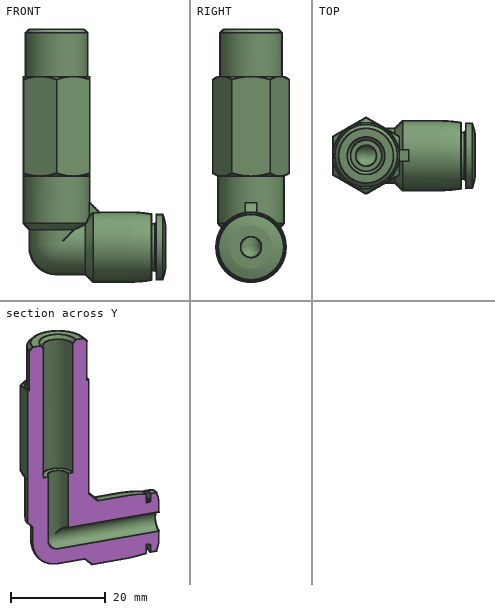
import cadquery as cq
import math


elbow_radius = 11.6 / 2
passage_radius = 4.4 / 2

stem_radius = 14.0 / 2
stem_bottom_z = 5.0
stem_chamfer_height = 1.3
hex_bottom_z = 15.0
hex_top_z = 36.0
hex_sides = 6
hex_across_flats = 14.0
hex_chamfer_angle = math.radians(30)
spigot_radius = 13.16 / 2
spigot_top_z = 46.0
spigot_chamfer = 0.8
stem_bore_radius = 6.58 / 2
stem_bore_mouth_radius = 7.94 / 2
stem_bore_mouth_depth = 0.8

body_radius = 14.8 / 2
body_cone_start_x = 6.1
body_cone_end_x = 7.7
body_curve_start_x = 15.75
body_curve_end_x = 18.8
body_curve_end_radius = 7.17
body_end_x = 20.1
body_end_radius = 7.0
body_end_chamfer = 0.12

neck_radius = 9.94 / 2
neck_flare_x = 20.75
neck_flare = 0.25
flange_radius = 13.8 / 2
flange_rim_end_x = 22.4
collar_end_x = 23.0
collar_face_radius = 4.5
collar_crown_mid_x = 22.75
collar_crown_mid_radius = 5.85

rib_width = 2.45
rib_top_z = 9.4


def cylinder_z(radius, bottom_z, top_z):
    return cq.Workplane("XY").workplane(offset=bottom_z).circle(radius).extrude(top_z - bottom_z)


def cylinder_x(radius, start_x, end_x):
    return cq.Workplane("YZ").workplane(offset=start_x).circle(radius).extrude(end_x - start_x)


def make_elbow(radius, top_z, end_x):
    """Ball at the origin with one equal round leg up Z and one along X."""
    ball = cq.Workplane("XY").sphere(radius)
    return ball.union(cylinder_z(radius, 0, top_z)).union(cylinder_x(radius, 0, end_x))


def make_stem():
    """Round stem below the hexagon and cylindrical spigot above it."""
    profile = (
        cq.Workplane("XZ")
        .moveTo(0, stem_bottom_z - stem_chamfer_height)
        .lineTo(elbow_radius, stem_bottom_z - stem_chamfer_height)
        .lineTo(stem_radius, stem_bottom_z)
        .lineTo(stem_radius, hex_bottom_z)
        .lineTo(spigot_radius, hex_bottom_z)
        .lineTo(spigot_radius, spigot_top_z - spigot_chamfer)
        .lineTo(spigot_radius - spigot_chamfer, spigot_top_z)
        .lineTo(0, spigot_top_z)
        .close()
    )
    return profile.revolve(360, (0, 0, 0), (0, 1, 0))


def make_hexagon():
    """Hexagon with corners on Y, its corners turned off conically at both ends."""
    corner_radius = hex_across_flats / 2 / math.cos(math.pi / hex_sides)
    flat_radius = hex_across_flats / 2
    corner_drop = (corner_radius - flat_radius) * math.tan(hex_chamfer_angle)
    prism = (
        cq.Workplane("XY")
        .workplane(offset=hex_bottom_z)
        .transformed(rotate=(0, 0, 180 / hex_sides))
        .polygon(hex_sides, 2 * corner_radius)
        .extrude(hex_top_z - hex_bottom_z)
    )
    envelope = (
        cq.Workplane("XZ")
        .moveTo(0, hex_bottom_z)
        .lineTo(flat_radius, hex_bottom_z)
        .lineTo(corner_radius, hex_bottom_z + corner_drop)
        .lineTo(corner_radius, hex_top_z - corner_drop)
        .lineTo(flat_radius, hex_top_z)
        .lineTo(0, hex_top_z)
        .close()
        .revolve(360, (0, 0, 0), (0, 1, 0))
    )
    return prism.intersect(envelope)


def make_socket():
    """Socket body, neck and release collar, turned about the X axis."""
    flange_start_x = neck_flare_x + neck_flare
    profile = (
        cq.Workplane("XZ")
        .moveTo(body_cone_start_x, 0)
        .lineTo(body_cone_start_x, elbow_radius)
        .lineTo(body_cone_end_x, body_radius)
        .lineTo(body_curve_start_x, body_radius)
        .tangentArcPoint((body_curve_end_x, body_curve_end_radius), relative=False)
        .lineTo(body_end_x - body_end_chamfer, body_end_radius)
        .lineTo(body_end_x, body_end_radius - body_end_chamfer)
        .lineTo(body_end_x, neck_radius)
        .lineTo(neck_flare_x, neck_radius)
        .lineTo(flange_start_x, neck_radius + neck_flare)
        .lineTo(flange_start_x, flange_radius)
        .lineTo(flange_rim_end_x, flange_radius)
        .threePointArc(
            (collar_crown_mid_x, collar_crown_mid_radius),
            (collar_end_x, collar_face_radius),
        )
        .lineTo(collar_end_x, 0)
        .close()
    )
    return profile.revolve(360, (0, 0, 0), (1, 0, 0))


def make_rib():
    """Gusset with a 45 degree top edge running from the stem to the socket."""
    rib_end_x = stem_radius + rib_top_z - body_radius
    return (
        cq.Workplane("XZ")
        .moveTo(elbow_radius, 0)
        .lineTo(elbow_radius, rib_top_z)
        .lineTo(stem_radius, rib_top_z)
        .lineTo(rib_end_x, body_radius)
        .lineTo(rib_end_x, 0)
        .close()
        .extrude(rib_width / 2, both=True)
    )


def make_stem_bore():
    """Wide bore down through the hexagon with a countersunk mouth."""
    bore = cylinder_z(stem_bore_radius, hex_bottom_z, spigot_top_z)
    mouth = (
        cq.Workplane("XZ")
        .moveTo(0, spigot_top_z - stem_bore_mouth_depth)
        .lineTo(stem_bore_radius, spigot_top_z - stem_bore_mouth_depth)
        .lineTo(stem_bore_mouth_radius, spigot_top_z)
        .lineTo(0, spigot_top_z)
        .close()
        .revolve(360, (0, 0, 0), (0, 1, 0))
    )
    return bore.union(mouth)


outside = (
    make_elbow(elbow_radius, stem_bottom_z, body_cone_end_x)
    .union(make_stem())
    .union(make_hexagon())
    .union(make_socket())
    .union(make_rib())
)
passage = make_elbow(passage_radius, hex_bottom_z, collar_end_x)

result = outside.cut(passage).cut(make_stem_bore())